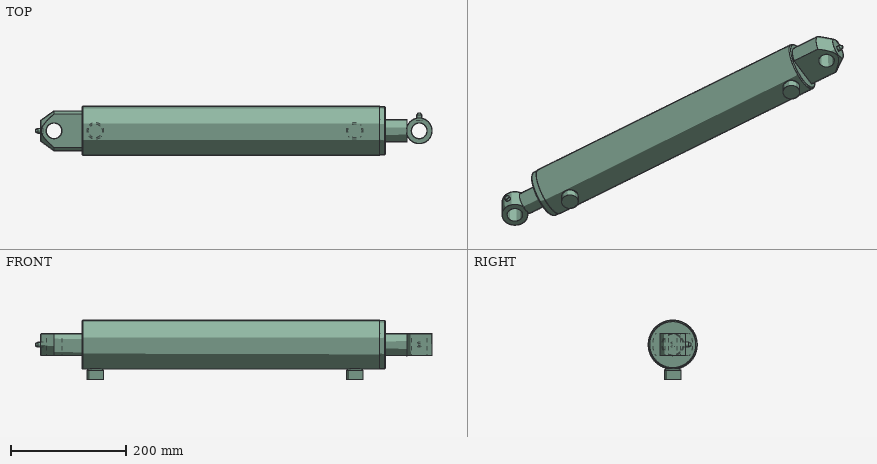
import cadquery as cq

TOTAL_LENGTH = 689.5
TOTAL_HEIGHT = 103.5

BARREL_DIAMETER = 85.5
BARREL_START = 81.0
GLAND_DIAMETER = 84.0
GLAND_START = 598.0
GLAND_END = 609.0
END_CHAMFER = 2.0

PIN_HOLE_DIAMETER = 27.0

LUG_DIAMETER = 69.5
LUG_THICKNESS = 38.0
LUG_START = 9.0
NOSE_DIAMETER = 36.0
LUG_PIN_X = 32.5

PORT_DIAMETER = 29.0
PORT_CHAMFER = 3.0
PORT_NECK_HEIGHT = 2.0
PORT_CENTRES_X = (104.0, 555.0)
BARREL_BOTTOM_Z = -BARREL_DIAMETER / 2
PORT_BOTTOM_Z = BARREL_DIAMETER / 2 - TOTAL_HEIGHT
PORT_TOP_Z = BARREL_BOTTOM_Z - PORT_NECK_HEIGHT + PORT_CHAMFER

ROD_DIAMETER = 38.5
EYE_DIAMETER = 45.0
EYE_HEIGHT = LUG_THICKNESS
EYE_X = TOTAL_LENGTH - EYE_DIAMETER / 2
ROD_EYE_OVERLAP = 1.5
ROD_END = EYE_X - EYE_DIAMETER / 2 + ROD_EYE_OVERLAP

NIPPLE_DIAMETER = 9.0
NIPPLE_HEIGHT = LUG_START
NIPPLE_TIP_DIAMETER = 4.0
NIPPLE_TIP_HEIGHT = 4.0
NIPPLE_SEAT_DEPTH = 4.0


def bar_along_x(start, end, diameter):
    """Round bar on the cylinder axis."""
    return cq.Workplane("YZ", origin=(start, 0, 0)).circle(diameter / 2).extrude(end - start)


def vertical_disc(x, bottom, top, diameter):
    """Round bar parallel to Z, centred over the cylinder axis."""
    return cq.Workplane("XY", origin=(x, 0, bottom)).circle(diameter / 2).extrude(top - bottom)


def pin_hole(x):
    """Bore for a pin, through the full thickness of the lug or eye."""
    return vertical_disc(x, -LUG_THICKNESS / 2, LUG_THICKNESS / 2, PIN_HOLE_DIAMETER)


def make_lug():
    """Flat-sided rear lug with a conical nose that ends over the pin hole centre."""
    nose = (
        cq.Workplane("YZ", origin=(LUG_START, 0, 0))
        .circle(NOSE_DIAMETER / 2)
        .workplane(offset=LUG_PIN_X - LUG_START)
        .circle(LUG_DIAMETER / 2)
        .loft()
    )
    round_lug = nose.union(bar_along_x(LUG_PIN_X, BARREL_START, LUG_DIAMETER))
    slab = cq.Workplane("XY").box(2 * BARREL_START, LUG_DIAMETER, LUG_THICKNESS)
    return round_lug.intersect(slab).cut(pin_hole(LUG_PIN_X))


def make_port(x):
    """Port boss hanging below the barrel; its neck reaches up into the barrel."""
    boss = vertical_disc(x, PORT_BOTTOM_Z, PORT_TOP_Z, PORT_DIAMETER)
    boss = boss.faces(">Z").chamfer(PORT_CHAMFER)
    neck = vertical_disc(x, PORT_BOTTOM_Z, 0, PORT_DIAMETER - 2 * PORT_CHAMFER)
    return boss.union(neck)


def make_housing():
    """Barrel, gland, rear lug and ports in one piece, with a blind seat for the rod."""
    barrel = bar_along_x(BARREL_START, GLAND_START, BARREL_DIAMETER).faces("<X").chamfer(END_CHAMFER)
    gland = bar_along_x(GLAND_START, GLAND_END, GLAND_DIAMETER).faces(">X").chamfer(END_CHAMFER)
    housing = barrel.union(gland).union(make_lug())
    for x in PORT_CENTRES_X:
        housing = housing.union(make_port(x))
    return housing.cut(bar_along_x(GLAND_START, GLAND_END, ROD_DIAMETER))


def make_rod():
    """Rod with a bored eye at its free end."""
    shaft = bar_along_x(GLAND_START, ROD_END, ROD_DIAMETER)
    eye = vertical_disc(EYE_X, -EYE_HEIGHT / 2, EYE_HEIGHT / 2, EYE_DIAMETER)
    return shaft.union(eye).cut(pin_hole(EYE_X))


def make_nipple(base, direction):
    """Grease nipple standing on base and pointing along direction, its shank sunk below base."""
    profile = (
        cq.Workplane("XZ")
        .moveTo(0, -NIPPLE_SEAT_DEPTH)
        .lineTo(NIPPLE_DIAMETER / 2, -NIPPLE_SEAT_DEPTH)
        .lineTo(NIPPLE_DIAMETER / 2, NIPPLE_HEIGHT - NIPPLE_TIP_HEIGHT)
        .lineTo(NIPPLE_TIP_DIAMETER / 2, NIPPLE_HEIGHT)
        .lineTo(0, NIPPLE_HEIGHT)
        .close()
    )
    upright = profile.revolve(360, (0, 0, 0), (0, 1, 0)).val()
    return upright.moved(cq.Plane(origin=base, normal=direction).location)


NIPPLE_PLACES = (
    ((LUG_START, 0, 0), (-1, 0, 0)),
    ((EYE_X, EYE_DIAMETER / 2, 0), (0, 1, 0)),
)
nipples = [make_nipple(base, direction) for base, direction in NIPPLE_PLACES]
lug_nipple, eye_nipple = nipples

housing = make_housing().cut(cq.Workplane(lug_nipple))
rod = make_rod().cut(cq.Workplane(eye_nipple))

result = cq.Compound.makeCompound([housing.val(), rod.val(), *nipples])